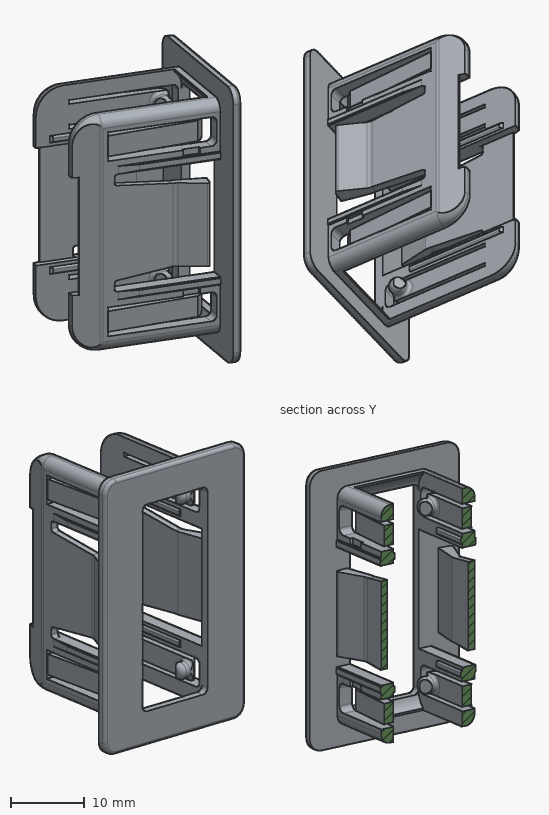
import cadquery as cq

PLATE_WIDTH = 25.0
PLATE_HEIGHT = 40.0
PLATE_THICKNESS = 1.25
PLATE_CORNER_RADIUS = 2.0
PLATE_EDGE_RADIUS = 0.5

LEG_INNER_X = 5.75
LEG_OUTER_X = 7.9
LEG_LENGTH = 21.45
LEG_HALF_HEIGHT = 17.05
LEG_END_RADIUS = 4.0
LEG_EDGE_RADIUS = 1.55
TAPER_START = 17.5
TAPER_END_X = 6.8
TAPER_BLEND_RADIUS = 1.55

PANEL_HALF_HEIGHT = 8.5
PANEL_INNER_X = 6.75
NOTCH_DEPTH = 1.0

LATCH_ROOT = 15.55
LATCH_ROOT_RADIUS = 0.5
LATCH_TAPER_START = 7.0
LATCH_TIP_HALF_HEIGHT = 6.05
LATCH_ROOT_HALF_HEIGHT = 6.9
LATCH_TIP_INNER = (7.65, -1.9)
LATCH_APEX = (9.85, -2.2)
LATCH_APEX_RADIUS = 0.35
LATCH_BEND_INNER = 6.25
LATCH_BEND_OUTER = 6.6
LATCH_BEND_RADIUS = 1.7

WINDOW_START = 0.5
WINDOW_END = 16.5
WINDOW_LOW_Z = 10.6
WINDOW_HIGH_Z = 14.8
WINDOW_CORNER_RADIUS = 0.85
FINGER_WIDTH = 3.0
FINGER_Z = 12.7
FINGER_TIP = 1.9
FINGER_TIP_CHAMFER_END = 2.9
FINGER_TIP_CORNER_RADIUS = 0.5
FINGER_ROOT_THICKNESS = 1.95
FINGER_TIP_THICKNESS = 1.15
FINGER_NOSE_THICKNESS = 0.2

PEG_RADIUS = 1.2
PEG_TIP_X = 3.7
PEG_TIP_RADIUS = 0.9
PEG_BASE_RADIUS = 0.5

OUTER_RIB_HEIGHT = 0.15
OUTER_RIB_WIDTH = 1.15
OUTER_RIB_RAMP_START = 12.0
OUTER_RIB_END = 15.0

INNER_RIB_HEIGHT = 0.3
INNER_RIB_WIDTH = 1.0
INNER_RIB_Z = 9.5
INNER_RIB_START = 4.5
INNER_RIB_END = 19.45
INNER_RIB_END_SLOPE = 0.45

RECESS_START = 2.95
RECESS_END = 5.45
RECESS_DEPTH = 0.4

WEB_LENGTH = 1.05
WEB_EDGE = 0.3
OPENING_HALF_HEIGHT = 15.05
OPENING_CORNER_RADIUS = 0.85
FUNNEL_RADIUS = 3.0


def block(x0, x1, y0, y1, z0, z1):
    """Box given by its limits along X, Y and Z."""
    return cq.Workplane("XY").box(x1 - x0, y1 - y0, z1 - z0, centered=False).translate((x0, y0, z0))


def both_z(shape):
    """The shape together with its mirror image across z = 0."""
    return shape.union(shape.mirror("XY"))


def make_plate():
    body = block(
        -PLATE_WIDTH / 2, PLATE_WIDTH / 2, 0, PLATE_THICKNESS, -PLATE_HEIGHT / 2, PLATE_HEIGHT / 2
    )
    return body.edges("|Y").fillet(PLATE_CORNER_RADIUS).faces(">Y").edges().fillet(PLATE_EDGE_RADIUS)


def make_webs():
    return both_z(
        block(-LEG_INNER_X, LEG_INNER_X, -WEB_LENGTH, 0, OPENING_HALF_HEIGHT, LEG_HALF_HEIGHT)
    )


def make_opening():
    """Opening with rounded corners in the plate and curved funnel faces in the webs."""
    mouth_z = LEG_HALF_HEIGHT - WEB_EDGE
    funnel = (
        cq.Workplane("YZ")
        .moveTo(-WEB_LENGTH, -mouth_z)
        .lineTo(-WEB_LENGTH, mouth_z)
        .radiusArc((0, OPENING_HALF_HEIGHT), FUNNEL_RADIUS)
        .lineTo(0, -OPENING_HALF_HEIGHT)
        .radiusArc((-WEB_LENGTH, -mouth_z), FUNNEL_RADIUS)
        .close()
        .extrude(LEG_INNER_X, both=True)
    )
    opening = block(
        -LEG_INNER_X, LEG_INNER_X, 0, PLATE_THICKNESS, -OPENING_HALF_HEIGHT, OPENING_HALF_HEIGHT
    )
    return funnel.union(opening.edges("|Y").fillet(OPENING_CORNER_RADIUS))


def make_leg_blank():
    """Rounded leg with the free end tapered on the outside."""
    blank = block(LEG_INNER_X, LEG_OUTER_X, -LEG_LENGTH, 0, -LEG_HALF_HEIGHT, LEG_HALF_HEIGHT)
    blank = blank.faces("<Y").edges("|X").fillet(LEG_END_RADIUS)
    blank = blank.faces(">X").edges("not(>Y)").fillet(LEG_EDGE_RADIUS)
    profile = (
        cq.Workplane("XY")
        .polyline([
            (LEG_INNER_X, 0), (LEG_OUTER_X, 0), (LEG_OUTER_X, -TAPER_START),
            (TAPER_END_X, -LEG_LENGTH), (LEG_INNER_X, -LEG_LENGTH),
        ])
        .close()
        .extrude(LEG_HALF_HEIGHT, both=True)
    )
    taper_edge = cq.selectors.NearestToPointSelector((LEG_OUTER_X, -TAPER_START, 0))
    profile = profile.edges("|Z").edges(taper_edge).fillet(TAPER_BLEND_RADIUS)
    return blank.intersect(profile)


def make_panel_cuts():
    """Inner relief of the middle panel, its end notch and the room around the latch."""
    relief = block(
        LEG_INNER_X, PANEL_INNER_X, -LEG_LENGTH, 0, -PANEL_HALF_HEIGHT, PANEL_HALF_HEIGHT
    )
    notch = block(
        LEG_INNER_X, LEG_OUTER_X, -LEG_LENGTH, NOTCH_DEPTH - LEG_LENGTH,
        -PANEL_HALF_HEIGHT, PANEL_HALF_HEIGHT,
    )
    latch_room = block(
        LEG_INNER_X, LEG_OUTER_X, -LATCH_ROOT, 0, -PANEL_HALF_HEIGHT, PANEL_HALF_HEIGHT
    )
    return relief.union(notch).union(latch_room)


def make_latch_outline():
    """Latch outline in YZ, with rounded root corners, extruded out to the apex."""
    tip_z = LATCH_TIP_HALF_HEIGHT
    root_z = LATCH_ROOT_HALF_HEIGHT
    slot = (
        cq.Workplane("YZ")
        .polyline([
            (0, tip_z), (-LATCH_TAPER_START, tip_z), (-LATCH_ROOT, root_z),
            (-LATCH_ROOT, PANEL_HALF_HEIGHT), (0, PANEL_HALF_HEIGHT),
        ])
        .close()
        .extrude(LATCH_APEX[0])
        .faces("<Y").edges("|X").fillet(LATCH_ROOT_RADIUS)
    )
    field = block(0, LATCH_APEX[0], -LATCH_ROOT, 0, -PANEL_HALF_HEIGHT, PANEL_HALF_HEIGHT)
    return field.cut(both_z(slot))


def make_latch():
    """Sprung tongue of the middle panel with an outward barbed tip."""
    barb = (
        cq.Workplane("XY")
        .polyline([
            (PANEL_INNER_X, -LATCH_ROOT), (PANEL_INNER_X, -LATCH_BEND_INNER), LATCH_TIP_INNER,
            LATCH_APEX, (LEG_OUTER_X, -LATCH_BEND_OUTER), (LEG_OUTER_X, -LATCH_ROOT),
        ])
        .close()
        .extrude(PANEL_HALF_HEIGHT, both=True)
    )
    barb = barb.edges("|Z and >X").fillet(LATCH_APEX_RADIUS)
    bend = cq.selectors.NearestToPointSelector((LEG_OUTER_X, -LATCH_BEND_OUTER, 0))
    barb = barb.edges("|Z").edges(bend).fillet(LATCH_BEND_RADIUS)
    return barb.intersect(make_latch_outline())


def make_window():
    opening = block(
        LEG_INNER_X, LEG_OUTER_X, -WINDOW_END, -WINDOW_START, WINDOW_LOW_Z, WINDOW_HIGH_Z
    )
    return opening.faces(">Y").edges("|X").fillet(WINDOW_CORNER_RADIUS)


def make_finger_outline():
    """Finger outline in YZ, extruded from the peg tip to the outside of the leg."""
    outline = block(
        PEG_TIP_X, LEG_OUTER_X, -WINDOW_END, -FINGER_TIP,
        FINGER_Z - FINGER_WIDTH / 2, FINGER_Z + FINGER_WIDTH / 2,
    )
    return outline.faces(">Y").edges("|X").fillet(FINGER_TIP_CORNER_RADIUS)


def make_peg():
    """Round-nosed peg with a filleted base; the insertion side of the nose is cut at 45 degrees."""
    base_x = LEG_INNER_X - PEG_BASE_RADIUS
    embedded_x = LEG_INNER_X + FINGER_NOSE_THICKNESS / 2
    base_radius = PEG_RADIUS + PEG_BASE_RADIUS
    peg = (
        cq.Workplane("XY")
        .moveTo(PEG_TIP_X, 0)
        .lineTo(PEG_TIP_X, PEG_RADIUS - PEG_TIP_RADIUS)
        .radiusArc((PEG_TIP_X + PEG_TIP_RADIUS, PEG_RADIUS), PEG_TIP_RADIUS)
        .lineTo(base_x, PEG_RADIUS)
        .radiusArc((LEG_INNER_X, base_radius), -PEG_BASE_RADIUS)
        .lineTo(embedded_x, base_radius)
        .lineTo(embedded_x, 0)
        .close()
        .revolve(360, (0, 0, 0), (1, 0, 0))
    )
    nose_cut = (
        cq.Workplane("XY")
        .polyline([(PEG_TIP_X, 0), (PEG_TIP_X + PEG_RADIUS, -PEG_RADIUS), (PEG_TIP_X, -PEG_RADIUS)])
        .close()
        .extrude(PEG_RADIUS, both=True)
    )
    return peg.cut(nose_cut).translate((0, -FINGER_TIP - PEG_RADIUS, FINGER_Z))


def make_finger():
    """Spring finger that thins towards its tip on the outside and carries a peg inside."""
    blade = (
        cq.Workplane("XY")
        .polyline([
            (LEG_INNER_X, -WINDOW_END),
            (LEG_INNER_X, -FINGER_TIP),
            (LEG_INNER_X + FINGER_NOSE_THICKNESS, -FINGER_TIP),
            (LEG_INNER_X + FINGER_TIP_THICKNESS, -FINGER_TIP_CHAMFER_END),
            (LEG_INNER_X + FINGER_ROOT_THICKNESS, -WINDOW_END),
        ])
        .close()
        .extrude(LEG_HALF_HEIGHT)
    )
    return blade.union(make_peg()).intersect(make_finger_outline())


def make_outer_rib():
    """Trapezoidal rib that ramps down into the leg face at its free end."""
    low_z = PANEL_HALF_HEIGHT
    high_z = PANEL_HALF_HEIGHT + OUTER_RIB_WIDTH
    base_x = LEG_OUTER_X
    top_x = LEG_OUTER_X + OUTER_RIB_HEIGHT
    bar = (
        cq.Workplane("XZ")
        .polyline([
            (LEG_INNER_X, low_z), (base_x, low_z), (top_x, low_z + OUTER_RIB_HEIGHT),
            (top_x, high_z - OUTER_RIB_HEIGHT), (base_x, high_z), (LEG_INNER_X, high_z),
        ])
        .close()
        .extrude(OUTER_RIB_END)
    )
    profile = (
        cq.Workplane("XY")
        .polyline([
            (LEG_INNER_X, 0), (top_x, 0), (top_x, -OUTER_RIB_RAMP_START),
            (base_x, -OUTER_RIB_END), (LEG_INNER_X, -OUTER_RIB_END),
        ])
        .close()
        .extrude(LEG_HALF_HEIGHT)
    )
    return bar.intersect(profile)


def make_inner_rib():
    """Rib on the inner leg face with rounded long edges and a sloped free end."""
    low_z = INNER_RIB_Z - INNER_RIB_WIDTH / 2
    high_z = INNER_RIB_Z + INNER_RIB_WIDTH / 2
    crest_x = LEG_INNER_X - INNER_RIB_HEIGHT
    bar = (
        cq.Workplane("XZ", origin=(0, -INNER_RIB_START, 0))
        .moveTo(LEG_INNER_X, low_z)
        .radiusArc((crest_x, low_z + INNER_RIB_HEIGHT), INNER_RIB_HEIGHT)
        .lineTo(crest_x, high_z - INNER_RIB_HEIGHT)
        .radiusArc((LEG_INNER_X, high_z), INNER_RIB_HEIGHT)
        .close()
        .extrude(INNER_RIB_END - INNER_RIB_START)
    )
    end_cut = (
        cq.Workplane("XY")
        .polyline([
            (LEG_INNER_X, -INNER_RIB_END),
            (crest_x, INNER_RIB_END_SLOPE - INNER_RIB_END),
            (crest_x, -INNER_RIB_END),
        ])
        .close()
        .extrude(LEG_HALF_HEIGHT)
    )
    return bar.cut(end_cut)


def make_recess():
    return block(
        LEG_OUTER_X - RECESS_DEPTH, LEG_OUTER_X, -RECESS_END, -RECESS_START,
        PANEL_HALF_HEIGHT + OUTER_RIB_WIDTH, WINDOW_LOW_Z,
    )


def make_leg():
    leg = make_leg_blank().cut(make_panel_cuts()).union(make_latch())
    leg = leg.cut(both_z(make_window().union(make_recess())))
    for feature in (make_finger(), make_outer_rib(), make_inner_rib()):
        leg = leg.union(both_z(feature))
    return leg


right_leg = make_leg()
body = make_plate().union(make_webs()).cut(make_opening())
result = body.union(right_leg).union(right_leg.mirror("YZ"))